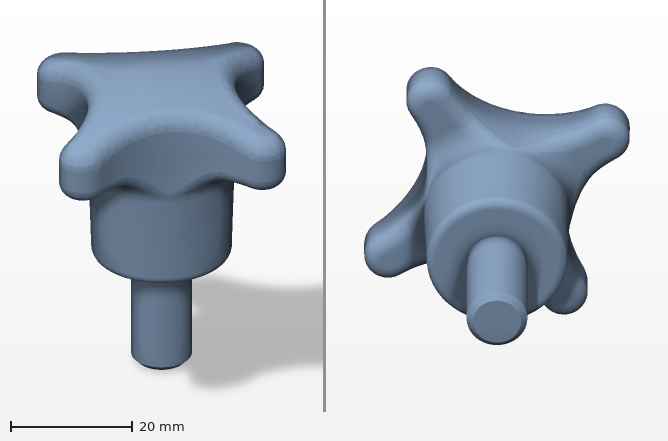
import cadquery as cq
import math

total_height = 53.0
hub_bottom_z = 20.0
arm_bottom_z = 40.0

arm_count = 4
tip_reach = 24.99
arm_half_width = 3.9
notch_radius = 16.3
notch_center = arm_half_width + notch_radius
tip_center = tip_reach - arm_half_width
notch_middle = notch_center - notch_radius * math.sqrt(0.5)

crown_radius = 69.95
top_edge_radius = 3.0
bottom_edge_radius = 2.5

hub_bottom_radius = 11.55
hub_top_radius = 12.1
hub_edge_radius = 1.5
flare_radius = 4.0
flare_start_z = arm_bottom_z - flare_radius
flare_end_radius = hub_top_radius + flare_radius
flare_sag = flare_radius * (1 - math.sqrt(0.5))

stud_diameter = 10.0
stud_chamfer = 1.05


def turned(x, y, quarter):
    """Point (x, y) turned about Z by a number of quarter turns."""
    for _ in range(quarter):
        x, y = -y, x
    return x, y


def make_cross_prism():
    """Upright prism with the four-armed outline, as tall as hub and handle together."""
    outline = cq.Workplane("XY", origin=(0, 0, hub_bottom_z)).moveTo(tip_center, -arm_half_width)
    for quarter in range(arm_count):
        outline = (
            outline
            .threePointArc(turned(tip_reach, 0, quarter), turned(tip_center, arm_half_width, quarter))
            .lineTo(*turned(notch_center, arm_half_width, quarter))
            .threePointArc(
                turned(notch_middle, notch_middle, quarter),
                turned(arm_half_width, notch_center, quarter),
            )
            .lineTo(*turned(arm_half_width, tip_center, quarter))
        )
    return outline.close().extrude(total_height - hub_bottom_z)


def make_turned_body():
    """Body of revolution: hub, flare, flat underside and spherical crown."""
    rim_radius = tip_reach + 0.55
    crown_center_z = total_height - crown_radius
    half_rim = rim_radius / 2
    return (
        cq.Workplane("XZ")
        .moveTo(0, hub_bottom_z)
        .lineTo(hub_bottom_radius, hub_bottom_z)
        .lineTo(hub_top_radius, flare_start_z)
        .threePointArc(
            (hub_top_radius + flare_sag, arm_bottom_z - flare_sag),
            (flare_end_radius, arm_bottom_z),
        )
        .lineTo(rim_radius, arm_bottom_z)
        .lineTo(rim_radius, crown_center_z + math.sqrt(crown_radius**2 - rim_radius**2))
        .threePointArc(
            (half_rim, crown_center_z + math.sqrt(crown_radius**2 - half_rim**2)),
            (0, total_height),
        )
        .close()
        .revolve(360, (0, 0, 0), (0, 1, 0))
    )


def on_outline(point):
    """True where a point lies on a notch wall or on an arm beyond the notches."""
    x, y = abs(point.x), abs(point.y)
    on_notch = abs(math.hypot(x - notch_center, y - notch_center) - notch_radius) < 0.005
    return on_notch or max(x, y) > notch_center


def round_outline_edges(body):
    """Round the edges along the crown, then those along the underside and flare."""
    crown_edges = [edge for edge in body.edges().vals() if edge.BoundingBox().zmin > arm_bottom_z + 0.55]
    body = body.newObject(crown_edges).fillet(top_edge_radius)
    lower_edges = []
    for edge in body.edges().vals():
        box = edge.BoundingBox()
        below_walls = box.zmin > flare_start_z + 0.05 and box.zmax < arm_bottom_z + 0.05
        if below_walls and on_outline(edge.positionAt(0.5)):
            lower_edges.append(edge)
    return body.newObject(lower_edges).fillet(bottom_edge_radius)


def make_stud():
    """Plain stud with a chamfered free end."""
    stud = cq.Workplane("XY").circle(stud_diameter / 2).extrude(hub_bottom_z)
    return stud.faces("<Z").edges().chamfer(stud_chamfer)


knob = round_outline_edges(make_cross_prism().intersect(make_turned_body()))
knob = knob.faces("<Z").edges().fillet(hub_edge_radius)
result = knob.union(make_stud())